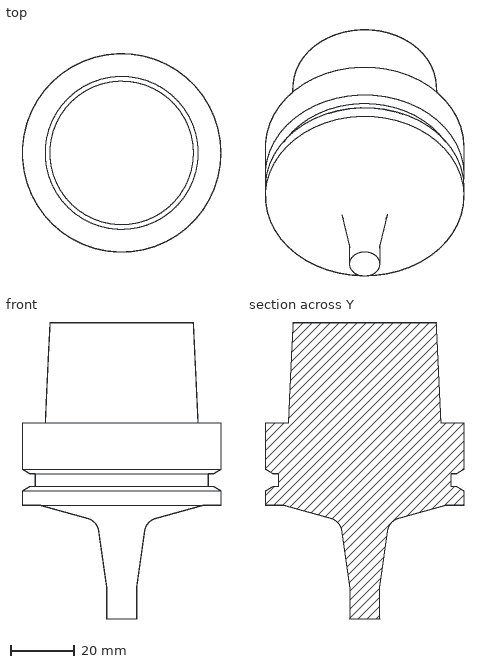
import cadquery as cq
import math

total_height = 93.9
pin_top = 10.1
stem_top = 28.0
flange_bottom = 36.1
groove_bottom = 40.7
groove_top = 47.4
flange_top = 62.2
groove_bevel_height = 1.4

pin_radius = 9.6 / 2
stem_top_radius = 7.3
flange_radius = 62.9 / 2
groove_radius = 54.9 / 2
groove_mouth_radius = 29.1
shank_base_radius = 24.2
shank_top_radius = 22.7

fillet_radius = 4.7
underside_slope = math.radians(15.5)
stem_slope = math.atan2(stem_top_radius - pin_radius, stem_top - pin_top)

fillet_center_r = stem_top_radius + fillet_radius * math.cos(stem_slope)
fillet_center_z = stem_top - fillet_radius * math.sin(stem_slope)


def fillet_point(angle):
    """Point on the fillet arc at an angle measured from the +R direction."""
    return (
        fillet_center_r + fillet_radius * math.cos(angle),
        fillet_center_z + fillet_radius * math.sin(angle),
    )


arc_start_angle = math.pi - stem_slope
arc_end_angle = math.pi / 2 + underside_slope
arc_middle = fillet_point((arc_start_angle + arc_end_angle) / 2)
arc_end = fillet_point(arc_end_angle)

hub_radius = arc_end[0] + (flange_bottom - arc_end[1]) / math.tan(underside_slope)

profile = (
    cq.Workplane("XZ")
    .lineTo(pin_radius, 0)
    .lineTo(pin_radius, pin_top)
    .lineTo(stem_top_radius, stem_top)
    .threePointArc(arc_middle, arc_end)
    .lineTo(hub_radius, flange_bottom)
    .lineTo(flange_radius, flange_bottom)
    .lineTo(flange_radius, groove_bottom)
    .lineTo(groove_mouth_radius, groove_bottom + groove_bevel_height)
    .lineTo(groove_radius, groove_bottom + groove_bevel_height)
    .lineTo(groove_radius, groove_top - groove_bevel_height)
    .lineTo(groove_mouth_radius, groove_top - groove_bevel_height)
    .lineTo(flange_radius, groove_top)
    .lineTo(flange_radius, flange_top)
    .lineTo(shank_base_radius, flange_top)
    .lineTo(shank_top_radius, total_height)
    .lineTo(0, total_height)
    .close()
)

result = profile.revolve(360, (0, 0, 0), (0, 1, 0))